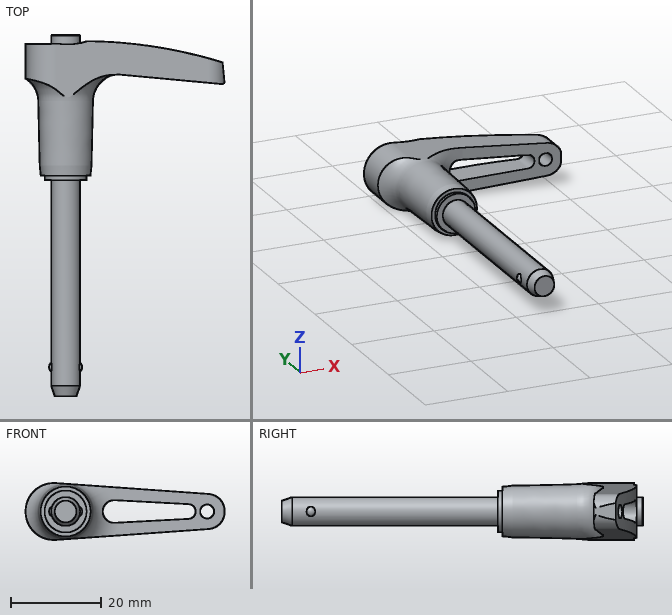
import cadquery as cq
import math


pin_length = 80.3
pin_radius = 3.2
button_chamfer = 0.25
tip_radius = 2.4
tip_length = 2.3

ball_radius = 1.2
ball_reach = 3.7
ball_y = -73.75

sleeve_top_y = -14.8
sleeve_top_radius = 6.1
sleeve_end_y = -29.05
sleeve_end_radius = 5.8
rim_y = -31.3
rim_radius = 5.5
collar_y = -32.3
collar_radius = 4.65

hub_radius = 6.35
hub_x = -2.6
end_radius = 3.9
end_x = 31.4
slot_wide_radius = 2.5
slot_wide_x = 10.75
slot_narrow_radius = 1.6
slot_narrow_x = 27.2
hole_radius = 1.5

hub_top_y = -2.1
dip_start_x = -1.2
dip_middle = (1.3, -2.2)
hump_start = (4.8, -1.45)
back_middle = (18.5, -2.5)
back_end = (34.8, -6.2)
grip_end = (end_x + end_radius, -11.1)
grip_corner_radius = 0.6

flare_radius = 5.85
flare_outer_radius = sleeve_top_radius + flare_radius
flare_top_y = sleeve_top_y + flare_radius


def tapered_prism(x_1, radius_1, x_2, radius_2):
    """Prism along Y whose outline wraps two circles with tangent lines."""
    tangent_angle = math.acos((radius_1 - radius_2) / (x_2 - x_1))
    cos_t = math.cos(tangent_angle)
    sin_t = math.sin(tangent_angle)
    return (
        cq.Workplane("XZ")
        .moveTo(x_1 + radius_1 * cos_t, radius_1 * sin_t)
        .lineTo(x_2 + radius_2 * cos_t, radius_2 * sin_t)
        .threePointArc((x_2 + radius_2, 0), (x_2 + radius_2 * cos_t, -radius_2 * sin_t))
        .lineTo(x_1 + radius_1 * cos_t, -radius_1 * sin_t)
        .threePointArc((x_1 - radius_1, 0), (x_1 + radius_1 * cos_t, radius_1 * sin_t))
        .close()
        .extrude(pin_length)
    )


def make_pin():
    return (
        cq.Workplane("XY")
        .lineTo(pin_radius - button_chamfer, 0)
        .lineTo(pin_radius, -button_chamfer)
        .lineTo(pin_radius, tip_length - pin_length)
        .lineTo(tip_radius, -pin_length)
        .lineTo(0, -pin_length)
        .close()
        .revolve(360, (0, 0), (0, 1))
    )


def make_sleeve():
    return (
        cq.Workplane("XY")
        .moveTo(0, sleeve_top_y)
        .lineTo(sleeve_top_radius, sleeve_top_y)
        .lineTo(sleeve_end_radius, sleeve_end_y)
        .lineTo(rim_radius, rim_y)
        .lineTo(collar_radius, rim_y)
        .lineTo(collar_radius, collar_y)
        .lineTo(0, collar_y)
        .close()
        .revolve(360, (0, 0), (0, 1))
    )


def make_flare():
    arc_offset = flare_radius * math.sqrt(0.5)
    arc_middle = (flare_outer_radius - arc_offset, sleeve_top_y + arc_offset)
    return (
        cq.Workplane("XY")
        .moveTo(0, sleeve_top_y)
        .lineTo(sleeve_top_radius, sleeve_top_y)
        .threePointArc(arc_middle, (flare_outer_radius, flare_top_y))
        .lineTo(0, flare_top_y)
        .close()
        .revolve(360, (0, 0), (0, 1))
    )


def make_grip():
    hub_left_x = hub_x - hub_radius
    return (
        cq.Workplane("XY")
        .moveTo(hub_left_x, hub_top_y)
        .lineTo(dip_start_x, hub_top_y)
        .threePointArc(dip_middle, hump_start)
        .threePointArc(back_middle, back_end)
        .lineTo(*grip_end)
        .lineTo(flare_outer_radius, flare_top_y)
        .lineTo(hub_left_x, flare_top_y)
        .close()
        .extrude(hub_radius, both=True)
        .edges(cq.selectors.NearestToPointSelector((*grip_end, 0)))
        .fillet(grip_corner_radius)
    )


def make_handle():
    plan = tapered_prism(hub_x, hub_radius, end_x, end_radius)
    slot = tapered_prism(slot_wide_x, slot_wide_radius, slot_narrow_x, slot_narrow_radius)
    hole = cq.Workplane("XZ").center(end_x, 0).circle(hole_radius).extrude(pin_length)
    return make_grip().union(make_flare()).intersect(plan).cut(slot).cut(hole)


result = make_handle().union(make_sleeve()).union(make_pin())
for side in (-1, 1):
    ball_x = side * (ball_reach - ball_radius)
    result = result.union(cq.Workplane("XY").sphere(ball_radius).translate((ball_x, ball_y, 0)))